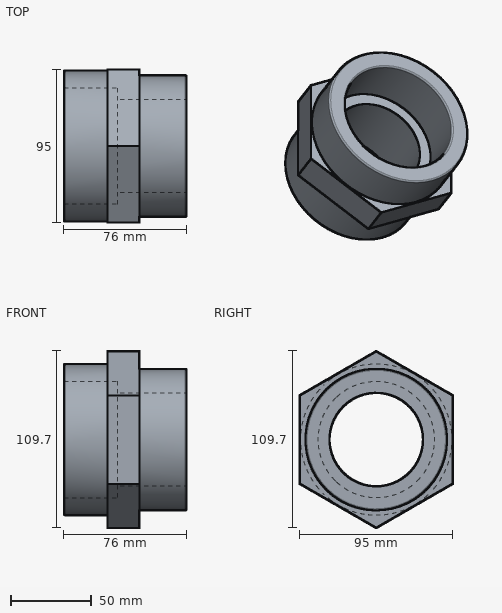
import cadquery as cq
import math

total_length = 76.0
socket_length = 26.9
hex_width = 20.0

hex_across_corners = 109.7
socket_diameter = 93.9
spigot_diameter = 87.9
socket_bore_diameter = 72.2
through_bore_diameter = 57.8

socket_bore_depth = 33.1

rim_radius = 1.0


def cylinder(diameter, start, length):
    """Solid cylinder on the X axis, beginning at X = start."""
    return cq.Workplane("YZ", origin=(start, 0, 0)).circle(diameter / 2).extrude(length)


socket = cylinder(socket_diameter, 0, socket_length).faces("<X").fillet(rim_radius)
spigot_start = socket_length + hex_width
spigot = cylinder(spigot_diameter, spigot_start, total_length - spigot_start)
spigot = spigot.faces(">X").fillet(rim_radius)

corner_radius = hex_across_corners / 2
corner_angles = [math.radians(90 + 60 * i) for i in range(6)]
hex_corners = [(corner_radius * math.cos(a), corner_radius * math.sin(a)) for a in corner_angles]
collar = cq.Workplane("YZ", origin=(socket_length, 0, 0)).polyline(hex_corners).close().extrude(hex_width)

body = socket.union(collar).union(spigot)

body = body.cut(cylinder(through_bore_diameter, 0, total_length))
body = body.cut(cylinder(socket_bore_diameter, 0, socket_bore_depth))

result = body.faces("<X").edges(cq.selectors.RadiusNthSelector(0)).fillet(rim_radius)